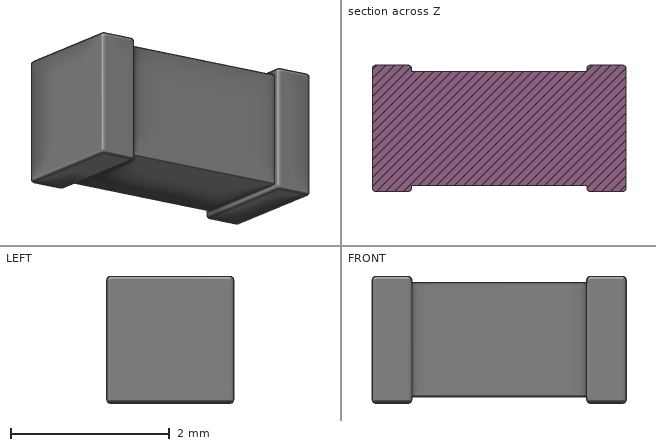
import cadquery as cq

length = 3.2
cap_side = 1.6

cap_length = 0.5
cap_fillet = 0.05

body_inset = 0.08
body_fillet = 0.025
body_side = cap_side - 2 * body_inset
body_length = length - cap_length


def make_body():
    """Square bar along X with rounded long edges."""
    return cq.Workplane("XY").box(body_length, body_side, body_side).edges("|X").fillet(body_fillet)


def make_cap(side):
    """End cap at the -X (side = -1) or +X (side = 1) end."""
    center_x = side * (length - cap_length) / 2
    cap = cq.Workplane("XY").box(cap_length, cap_side, cap_side).edges().fillet(cap_fillet)
    return cap.translate((center_x, 0, 0))


result = make_body()
for side in (-1, 1):
    result = result.union(make_cap(side))